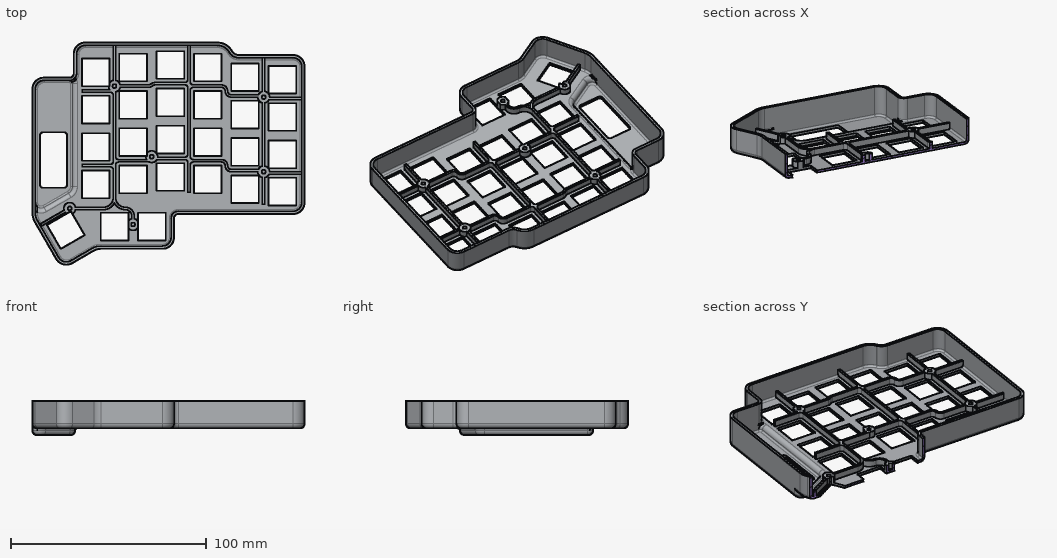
import cadquery as cq
import math

pitch = 19.05
key_size = 14.0
row_count = 4
first_column_x = 32.4
first_row_y = 98.25
column_stagger = [0, 2.5, 3.75, 2.5, -2.5, -3.75]
thumb_keys = [(42.0, 19.5), (61.0, 19.5)]
tilted_key = (17.1, 17.75)
tilt = 30.0

rim_z = 14.0
wall = 1.5
bump_depth = 3.5
bump_top = 5.0
rib_top = 5.0

outer_round = 2.5
inner_round = outer_round - wall

case_right = 139.06
case_top = 113.55
shoulder_y = 95.65
notch_x = 21.1
step_x = 94.5
step_y = 107.2
main_bottom = 25.85
thumb_right = 72.4
thumb_bottom = 8.1
corner_r = 6.0
notch_r = 2.0
step_outer_r = 8.5
step_inner_r = 4.0
step_angle = 60.0
lobe_x = 17.35
slant_r = 9.5
bend_r = 7.0

bump_right = 21.9
bump_top_r = 3.0
bump_lower_r = 5.5
bump_left_r = 4.4
bump_lower_y = 40.15
window_size = (13.7, 28.3)
window_centre = (10.85, 53.5)
window_r = 1.5

rib_width = 1.25
rib_bend_r = 2.5
fork_r = 5.5
thumb_turn_r = pitch / 2 - fork_r
web_r = 1.5
rib_foot = wall / 2
boss_d = 6.0
boss_hole_d = 2.0
tilted_boss = (19.1, 28.8)
thumb_boss_y = 20.6
tilted_rib_end_x = 4.6
middle_boss_y = 55.2
middle_rib_end_y = 37.0
right_rib_end_y = 31.0

coincident = 1e-4
sin_t = math.sin(math.radians(tilt))
cos_t = math.cos(math.radians(tilt))
tan_t = math.tan(math.radians(tilt))


def column_x(column):
    return first_column_x + column * pitch


def key_y(column, row):
    return first_row_y + column_stagger[column] - row * pitch


def gap_y(column, row):
    """Mid height of the bar below a key."""
    return key_y(column, row) - pitch / 2


def gap_x(column):
    """Middle of the bar right of a key column."""
    return column_x(column) + pitch / 2


left_x, middle_x, right_x = gap_x(0), gap_x(2), gap_x(4)
ribbed_rows = [0, 2]
thumb_boss = (left_x + pitch / 2, thumb_boss_y)


def rounded_path(corners, closed):
    """Wire through (x, y, radius) corners, each replaced by a tangent arc of its radius."""
    count = len(corners)
    stops = []
    for i, (x, y, r) in enumerate(corners):
        corner = cq.Vector(x, y)
        if r == 0:
            stops.append((corner, None, corner))
            continue
        back = (cq.Vector(*corners[i - 1][:2]) - corner).normalized()
        ahead = (cq.Vector(*corners[(i + 1) % count][:2]) - corner).normalized()
        half = back.getAngle(ahead) / 2
        reach = r / math.tan(half)
        middle = corner + (back + ahead).normalized() * (r / math.sin(half) - r)
        stops.append((corner + back * reach, middle, corner + ahead * reach))
    here = stops[0][2]
    path = cq.Workplane("XY").moveTo(here.x, here.y)
    for start, middle, end in stops[1:] + (stops[:1] if closed else []):
        if (start - here).Length > coincident:
            path = path.lineTo(start.x, start.y)
        if middle is not None:
            path = path.threePointArc((middle.x, middle.y), (end.x, end.y))
        here = end
    return path.wire()


def prism(outline, grow, bottom, top):
    """Upright solid between two heights on an outline offset outwards by grow."""
    sketch = cq.Workplane("XY").add(outline.val()).toPending()
    if grow:
        sketch = sketch.offset2D(grow)
    return sketch.extrude(top - bottom).translate((0, 0, bottom))


def case_outline():
    step_run = (case_top - step_y) / math.tan(math.radians(step_angle))
    step_start = step_x + step_outer_r * math.tan(math.radians(step_angle / 2))
    left_end_y = corner_r * (1 - sin_t) + (lobe_x - corner_r * cos_t) / tan_t
    tip = (lobe_x - corner_r * (cos_t - sin_t), corner_r * (1 - sin_t - cos_t))
    bend_x = lobe_x + corner_r * sin_t + (thumb_bottom - corner_r * (1 - cos_t)) / tan_t
    return rounded_path([
        (0, left_end_y, slant_r),
        (0, shoulder_y, corner_r),
        (notch_x, shoulder_y, notch_r),
        (notch_x, case_top, corner_r),
        (step_start, case_top, step_outer_r),
        (step_start + step_run, step_y, step_inner_r),
        (case_right, step_y, corner_r),
        (case_right, main_bottom, corner_r),
        (thumb_right, main_bottom, notch_r),
        (thumb_right, thumb_bottom, corner_r),
        (bend_x, thumb_bottom, bend_r),
        (*tip, corner_r),
    ], True)


def bump_outline():
    lower_corner = bump_lower_y - bump_lower_r * math.tan(math.radians((90 - tilt) / 2))
    return rounded_path([
        (0, lower_corner - bump_right * tan_t, bump_left_r),
        (0, shoulder_y, corner_r),
        (bump_right, shoulder_y, bump_top_r),
        (bump_right, lower_corner, bump_lower_r),
    ], True)


def flare(outline, grow, radius, top):
    """Skirt around an offset outline that widens upwards along a quarter round."""
    bottom = top - radius
    block = prism(outline, grow + 2 * radius, bottom - radius, top)
    ring = block.cut(prism(outline, grow, bottom - radius, top))
    inner_edges = ring.faces(">Z").val().innerWires()[0].Edges()
    ring = ring.newObject(inner_edges).fillet(radius)
    return prism(outline, grow + radius, bottom, top).cut(ring)


def build_shell(case, bump):
    body = prism(case, 0, 0, rim_z).faces("<Z").edges().fillet(outer_round)
    pan = prism(bump, 0, -bump_depth, bump_top).faces("<Z").edges().fillet(outer_round)
    skirt = flare(bump, 0, inner_round, 0).intersect(prism(case, -outer_round, -bump_depth, rim_z))
    body = body.union(pan).union(skirt)

    cavity = prism(case, -wall, wall, rim_z).faces("<Z").edges().fillet(inner_round)
    pan_floor = wall - bump_depth
    pan_cavity = prism(bump, -wall, pan_floor, bump_top).faces("<Z").edges().fillet(inner_round)
    lip = flare(bump, -wall, outer_round, wall)
    inside = prism(case, -wall, -bump_depth, rim_z)
    return body.cut(cavity).cut(pan_cavity.union(lip).intersect(inside))


def rib(corners):
    """Upright strip of constant width along an open path of rounded corners."""
    (x0, y0, _), (x1, y1, _) = corners[:2]
    plane = cq.Plane((x0, y0, 0), (y0 - y1, x1 - x0, 0), (x1 - x0, y1 - y0, 0))
    profile = cq.Workplane(plane).center(0, (rib_foot + rib_top) / 2)
    return profile.rect(rib_width, rib_top - rib_foot).sweep(rounded_path(corners, False))


def web(x, y, side_x, side_y):
    """Concave fill in one corner of a rib crossing."""
    corner_x = x + side_x * rib_width / 2
    corner_y = y + side_y * rib_width / 2
    centre = (corner_x + side_x * web_r, corner_y + side_y * web_r)
    block = cq.Workplane("XY").box(web_r, web_r, rib_top - wall, centered=(True, True, False))
    block = block.translate((corner_x + side_x * web_r / 2, corner_y + side_y * web_r / 2, wall))
    return block.cut(cq.Workplane("XY").center(*centre).circle(web_r).extrude(rib_top))


def s_bend(x, y_from, y_to):
    """Two corners whose arcs meet tangentially and carry a rib from one height to another."""
    angle = math.acos(1 - abs(y_to - y_from) / (2 * rib_bend_r))
    half_run = rib_bend_r * (math.sin(angle) - math.tan(angle / 2))
    return [(x - half_run, y_from, rib_bend_r), (x + half_run, y_to, rib_bend_r)]


def upright_ribs():
    turn_y = tilted_boss[1]
    branch_x = thumb_boss[0]
    return [
        rib([(left_x, case_top - wall / 2, 0), (left_x, turn_y, fork_r), (*tilted_boss, 0)]),
        rib([(left_x, gap_y(0, 2), 0), (left_x, turn_y, fork_r),
             (branch_x, turn_y, thumb_turn_r), (*thumb_boss, 0)]),
        rib([(middle_x, case_top - wall / 2, 0), (middle_x, middle_rib_end_y, 0)]),
        rib([(right_x, step_y - wall / 2, 0), (right_x, right_rib_end_y, 0)]),
    ]


def tilted_rib():
    end_y = tilted_boss[1] - (tilted_boss[0] - tilted_rib_end_x) * tan_t
    return rib([(*tilted_boss, 0), (tilted_rib_end_x, end_y, 0)])


def row_ribs(row):
    heights = [gap_y(column, row) for column in range(len(column_stagger))]
    ribs = [
        rib([(column_x(0) - key_size / 2, heights[0], 0), (left_x, heights[0], 0)]),
        rib([(left_x, heights[1], 0), *s_bend(gap_x(1), *heights[1:3]), (middle_x, heights[2], 0)]),
        rib([(middle_x, heights[3], 0), *s_bend(gap_x(3), *heights[3:5]), (right_x, heights[4], 0)]),
        rib([(right_x, heights[5], 0), (case_right - wall / 2, heights[5], 0)]),
    ]
    crossings = [(left_x, -1, heights[0]), (left_x, 1, heights[1]),
                 (middle_x, -1, heights[2]), (middle_x, 1, heights[3])]
    webs = [web(x, y, side_x, side_y) for x, side_x, y in crossings for side_y in (-1, 1)]
    return ribs + webs


def boss_places():
    row_bosses = [(right_x, (gap_y(4, row) + gap_y(5, row)) / 2) for row in ribbed_rows]
    return row_bosses + [
        (left_x, gap_y(1, 0)),
        (gap_x(1), middle_boss_y),
        tilted_boss,
        thumb_boss,
    ]


def key_cutters():
    keys = [(column_x(c), key_y(c, r)) for c in range(len(column_stagger)) for r in range(row_count)]
    cutters = cq.Workplane("XY").pushPoints(keys + thumb_keys).rect(key_size, key_size).extrude(rib_top)
    tilted = cq.Workplane("XY").rect(key_size, key_size).extrude(rib_top)
    tilted = tilted.rotate((0, 0, 0), (0, 0, 1), tilt).translate((*tilted_key, 0))
    return cutters.union(tilted)


def window_cutter():
    window = cq.Workplane("XY").center(*window_centre).rect(*window_size).extrude(-bump_depth)
    return window.edges("|Z").fillet(window_r)


result = build_shell(case_outline(), bump_outline())

parts = upright_ribs() + [tilted_rib()]
for ribbed_row in ribbed_rows:
    parts += row_ribs(ribbed_row)
for part in parts:
    result = result.union(part)

boss_points = cq.Workplane("XY").workplane(offset=wall).pushPoints(boss_places())
boss_height = rib_top - wall
result = result.union(boss_points.circle(boss_d / 2).extrude(boss_height))
result = result.cut(boss_points.circle(boss_hole_d / 2).extrude(boss_height))
result = result.cut(key_cutters()).cut(window_cutter())